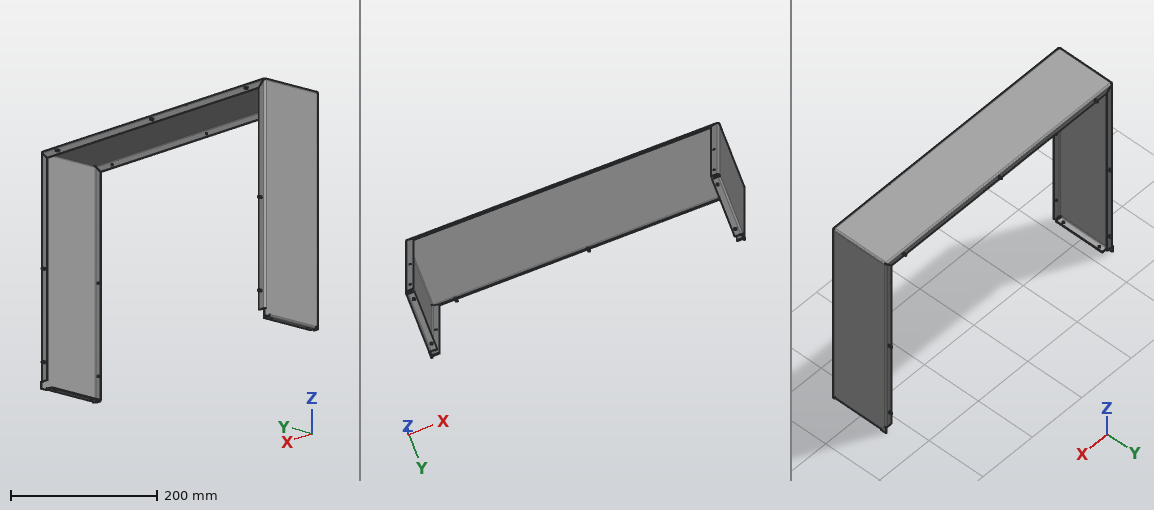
import cadquery as cq

WIDTH = 460.0
DEPTH = 100.0
HEIGHT = 340.0

SHEET = 1.75
BEND_RADIUS = 3.0
INNER_RADIUS = BEND_RADIUS - SHEET
FLANGE = 12.0
MITRE_GAP = 0.25

BEVEL = 2.5
BACK_FLANGE_LIFT = 10.0
FOOT_BACK_SETBACK = 9.0
FOOT_FRONT_SETBACK = 4.5
FOOT_HOLE_DIAMETER = 3.0
FOOT_HOLE_INSET = 9.5

PIN_LINE = 7.5
PIN_SPACING = 194.0
PIN_HEIGHTS = (36.5, HEIGHT / 2)
PIN_DIAMETER = 3.05
PIN_PROJECTION = 4.0
FRONT_HOLE_DIAMETER = 2.58

HALF_WIDTH = WIDTH / 2
PIN_POINTS = [(x, HEIGHT - PIN_LINE) for x in (-PIN_SPACING, 0, PIN_SPACING)] + [
    (side * (HALF_WIDTH - PIN_LINE), z) for side in (-1, 1) for z in PIN_HEIGHTS
]


def block(x_min, x_max, y_min, y_max, z_min, z_max):
    """Box between two opposite corners."""
    size = (x_max - x_min, y_max - y_min, z_max - z_min)
    return cq.Workplane("XY").box(*size, centered=False).translate((x_min, y_min, z_min))


def rounded_hood(inset, radius):
    """Solid hood with rounded top and upright edges, inset from the outer faces."""
    half = HALF_WIDTH - inset
    hood = block(-half, half, inset, DEPTH - inset, 0, HEIGHT - inset)
    return hood.edges("|Z or >Z").fillet(radius)


def rod(diameter, x, z, y_min, y_max):
    """Cylinder along Y."""
    return (
        cq.Workplane("XZ", origin=(x, y_min, z)).circle(diameter / 2).extrude(y_min - y_max)
    )


def mitre_slits():
    """Diagonal slits that part the flanges at both upper corners, front and back."""
    slits = cq.Workplane("XY")
    length = FLANGE * 2 ** 0.5
    for side in (-1, 1):
        slit = cq.Workplane("XY").box(length, BEND_RADIUS, MITRE_GAP)
        slit = slit.rotate((0, 0, 0), (0, 1, 0), -side * 45)
        x = side * (HALF_WIDTH - FLANGE / 2)
        for y in (BEND_RADIUS / 2, DEPTH - BEND_RADIUS / 2):
            slits = slits.add(slit.translate((x, y, HEIGHT - FLANGE / 2)))
    return slits


def foot_flange(side):
    """Bent strip that turns inward from the bottom of one leg."""
    outer = side * HALF_WIDTH
    inner = side * (HALF_WIDTH - SHEET)
    bend = side * (HALF_WIDTH - BEND_RADIUS)
    tip = side * (HALF_WIDTH - FLANGE)
    half_root = 0.5 ** 0.5
    outer_mid = (bend + side * BEND_RADIUS * half_root, BEND_RADIUS * (1 - half_root))
    inner_mid = (bend + side * INNER_RADIUS * half_root, BEND_RADIUS - INNER_RADIUS * half_root)
    profile = (
        cq.Workplane("XZ", origin=(0, DEPTH - FOOT_BACK_SETBACK, 0))
        .moveTo(outer, BEND_RADIUS)
        .threePointArc(outer_mid, (bend, 0))
        .lineTo(tip, 0)
        .lineTo(tip, SHEET)
        .lineTo(bend, SHEET)
        .threePointArc(inner_mid, (inner, BEND_RADIUS))
        .close()
    )
    return profile.extrude(DEPTH - FOOT_BACK_SETBACK - FOOT_FRONT_SETBACK)


def corner_bevel(side):
    """Small wedge at the lower inner corner of one front flange."""
    edge = side * (HALF_WIDTH - FLANGE)
    wedge = cq.Workplane("XZ").polyline([(edge, 0), (edge + side * BEVEL, 0), (edge, BEVEL)])
    return wedge.close().extrude(-SHEET)


def foot_hole(side, y):
    """Round hole through a foot flange."""
    x = side * (HALF_WIDTH - PIN_LINE)
    return cq.Workplane("XY", origin=(x, y, 0)).circle(FOOT_HOLE_DIAMETER / 2).extrude(SHEET)


def make_frame():
    """Folded sheet frame with flanges around the front, the back and the feet."""
    frame = rounded_hood(0, BEND_RADIUS).cut(rounded_hood(SHEET, INNER_RADIUS))

    opening = HALF_WIDTH - FLANGE
    frame = frame.cut(block(-opening, opening, 0, DEPTH, 0, HEIGHT - FLANGE))
    frame = frame.cut(mitre_slits())

    for side in (-1, 1):
        frame = frame.cut(corner_bevel(side))

    corner_start = DEPTH - BEND_RADIUS
    frame = frame.cut(block(-HALF_WIDTH, HALF_WIDTH, corner_start, DEPTH, 0, BACK_FLANGE_LIFT))
    for side in (-1, 1):
        wall = sorted((side * HALF_WIDTH, side * (HALF_WIDTH - SHEET)))
        frame = frame.union(block(*wall, corner_start, DEPTH, 0, BACK_FLANGE_LIFT))
        foot_end = DEPTH - FOOT_BACK_SETBACK
        frame = frame.cut(block(*wall, FOOT_FRONT_SETBACK, foot_end, 0, BEND_RADIUS))
        frame = frame.union(foot_flange(side))
        for y in (FOOT_FRONT_SETBACK + FOOT_HOLE_INSET, foot_end - FOOT_HOLE_INSET):
            frame = frame.cut(foot_hole(side, y))

    for x, z in PIN_POINTS:
        frame = frame.cut(rod(FRONT_HOLE_DIAMETER, x, z, 0, SHEET))
        frame = frame.cut(rod(PIN_DIAMETER, x, z, DEPTH - SHEET, DEPTH))
    return frame


def make_pin(x, z):
    """Plain pin that fills its hole in the back flange and projects behind it."""
    return rod(PIN_DIAMETER, x, z, DEPTH - SHEET, DEPTH + PIN_PROJECTION)


frame = make_frame()
pins = [make_pin(x, z) for x, z in PIN_POINTS]

result = cq.Compound.makeCompound([frame.val(), *[pin.val() for pin in pins]])